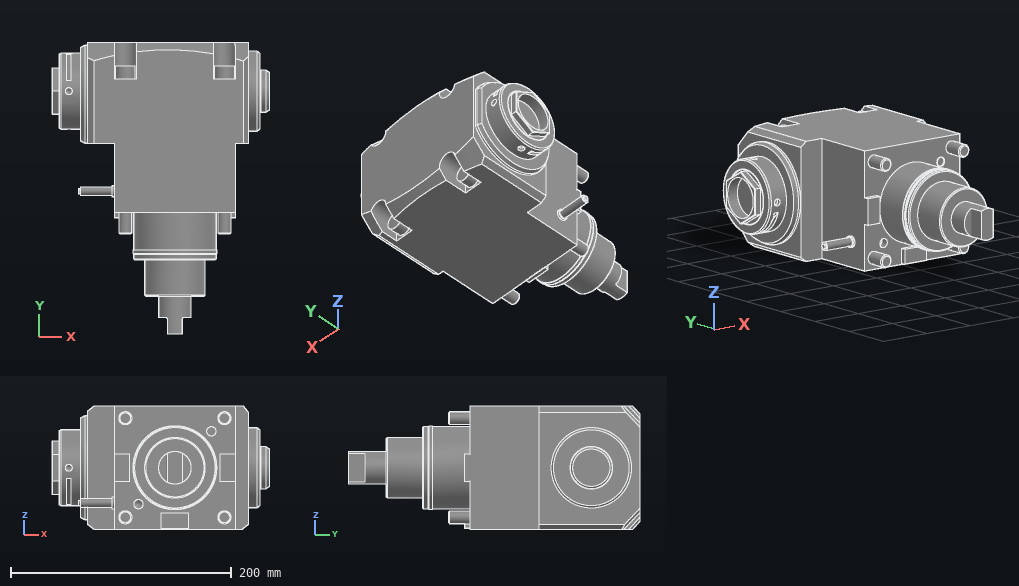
import cadquery as cq
import math


half_height = 56.0
back_y = 154.2
neck_half_width = 55.0
shoulder_y = 62.5
head_left = -79.2
head_right = 66.8
head_center_x = (head_left + head_right) / 2
edge_chamfer_width = 6.0
edge_chamfer_drop = 4.8
back_bevel = 6.5
back_arc_radius = 232.3
bevel_reach = 24.0
bevel_drop = 26.5

screw_offset = 45.0
screw_diameter = 12.0
screw_reach = 19.3
screw_chamfer = 1.0
screw_head_diameter = 18.0
screw_head_bottom = 121.2
screw_head_height = 12.0
screw_pocket_width = 19.8

key_length = 24.8
key_inner = 41.0
key_outer = neck_half_width
key_height = 4.8

drilling_offset = 33.0
drilling_diameter = 8.5
drilling_depth = 8.0
recess_depth = 1.0
drill_point_angle = 118

pilot_radius = 37.5
pilot_length = 42.8
pilot_chamfer = 1.0
seal_start = 33.8
seal_width = 3.2
seal_radius = 38.0
groove_width = 0.8
groove_depth = 1.0
collar_radius = 27.5
collar_length = 75.8
collar_chamfer = 1.0
journal_radius = 14.8
journal_length = 95.0
tongue_length = 109.8
tongue_width = 13.7
tongue_root_fillet = 1.0

spindle_y = 110.0
flange_end = -85.5
flange_radius = 47.3
flange_flat = 41.7
flange_chamfer_length = 4.0
flange_chamfer_depth = 2.0
nose_end = -104.8
nose_radius = 34.5
nose_chamfer_length = 1.8
nose_chamfer_depth = 1.0
nose_feature_x = -96.0
spanner_hole_diameter = 6.3
spanner_hole_depth = 3.7
slot_width = 4.2
slot_floor = 30.4

nut_end = -111.5
nut_across_flats = 42.2
nut_bore_diameter = 37.5
nut_bore_depth = 11.4
nut_collar_radius = 25.0
nut_seat_depth = 15.8
nut_seat_chamfer = 0.5
nut_edge_chamfer = 0.5

cover_end = 77.0
cover_radius = 36.5
cover_chamfer_length = 2.6
cover_chamfer_depth = 2.0
stub_end = 85.8
stub_radius = 19.3
stub_neck_radius = 18.7
stub_neck_length = 0.8
stub_chamfer_length = 3.5
stub_chamfer_depth = 2.5

pin_y = 19.5
pin_z = -32.0
pin_radius = 4.0
pin_end = -85.5
pin_tip_end = -87.0
pin_tip_radius = 2.5
pin_collar_radius = 5.3
pin_collar_width = 1.8


def box(x0, x1, y0, y1, z0, z1):
    """Block between two opposite corners."""
    return cq.Workplane("XY").box(x1 - x0, y1 - y0, z1 - z0, centered=False).translate((x0, y0, z0))


def cylinder_x(radius, x0, x1, y=spindle_y, z=0.0):
    """Cylinder along X from x0 to x1."""
    return cq.Workplane("YZ", origin=(x0, y, z)).circle(radius).extrude(x1 - x0)


def cylinder_y(radius, y0, y1, x=0.0, z=0.0):
    """Cylinder along Y from y0 to y1."""
    return cq.Workplane("XZ", origin=(x, y0, z)).circle(radius).extrude(y0 - y1)


def housing_block():
    """Neck and wider head, with the back bevelled along an arc above and below."""
    neck = box(-neck_half_width, neck_half_width, 0, back_y, -half_height, half_height)
    head = box(head_left, head_right, shoulder_y, back_y, -half_height, half_height)
    for z_side in ("<Z", ">Z"):
        head = head.faces(z_side).edges("|Y").chamfer(edge_chamfer_drop, edge_chamfer_width)
    rim_radius = back_arc_radius + bevel_reach
    rim_height = half_height - bevel_drop
    bevel_limit = (
        cq.Workplane("XZ")
        .polyline([
            (0, -half_height),
            (back_arc_radius, -half_height),
            (rim_radius, -rim_height),
            (rim_radius, rim_height),
            (back_arc_radius, half_height),
            (0, half_height),
        ])
        .close()
        .revolve(360, (0, 0), (0, 1))
        .translate((head_center_x, back_y - back_bevel - back_arc_radius, 0))
    )
    return neck.union(head).intersect(bevel_limit)


def screw_pocket(x, side):
    """Round-bottomed pocket for a screw head, open to the back and to the near top or bottom face."""
    half_width = screw_pocket_width / 2
    z_center = side * screw_offset
    z_low, z_high = sorted((z_center, side * half_height))
    bore = cylinder_y(half_width, screw_head_bottom, back_y, x, z_center)
    return bore.union(box(x - half_width, x + half_width, screw_head_bottom, back_y, z_low, z_high))


def screw(x, z):
    """Head in the pocket and shank end that stands out of the mounting face."""
    head = cylinder_y(
        screw_head_diameter / 2, screw_head_bottom, screw_head_bottom + screw_head_height, x, z
    )
    shank = cylinder_y(screw_diameter / 2, 0, -screw_reach, x, z).faces("<Y").chamfer(screw_chamfer)
    return head.union(shank)


def keys():
    """Three keys on the mounting face: left, right and bottom."""
    half_length = key_length / 2
    right_key = box(key_inner, key_outer, -key_height, 0, -half_length, half_length)
    return [right_key.rotate((0, 0, 0), (0, 1, 0), angle) for angle in (0, 90, 180)]


def drill(diameter, depth):
    """Drill shape along Z with its mouth at Z = 0, a straight part below it and a conical point."""
    radius = diameter / 2
    point_length = radius / math.tan(math.radians(drill_point_angle / 2))
    return (
        cq.Workplane("XZ")
        .polyline([(0, 0), (radius, 0), (radius, -depth), (0, -depth - point_length)])
        .close()
        .revolve(360, (0, 0), (0, 1))
    )


def drilled_hole():
    """Drilled hole in the lower left of the mounting face."""
    hole = drill(drilling_diameter, drilling_depth).rotate((0, 0, 0), (1, 0, 0), 90)
    return hole.translate((-drilling_offset, 0, -drilling_offset))


def shallow_recess():
    """Shallow round recess in the upper right of the mounting face."""
    return cylinder_y(drilling_diameter / 2, 0, recess_depth, drilling_offset, drilling_offset)


def tongue_side_cut(side):
    """Cut that leaves one flat of the tongue, rounded where the flat meets the journal shoulder."""
    flat_x, outer_x = sorted((side * tongue_width / 2, side * journal_radius))
    cut = box(flat_x, outer_x, -tongue_length, -journal_length, -journal_radius, journal_radius)
    root_edge = "<X" if side > 0 else ">X"
    return cut.faces(">Y").edges(root_edge).fillet(tongue_root_fillet)


def drive_shaft():
    """Stepped shaft with a seal ring and a flat driving tongue."""
    pilot = cylinder_y(pilot_radius, 0, -pilot_length).faces("<Y").chamfer(pilot_chamfer)
    seal_end = seal_start + seal_width
    groove_end = seal_end + groove_width
    groove = cylinder_y(pilot_radius, -seal_end, -groove_end)
    groove = groove.cut(cylinder_y(pilot_radius - groove_depth, -seal_end, -groove_end))
    seal = cylinder_y(seal_radius, -seal_start, -seal_end)
    collar = cylinder_y(collar_radius, 0, -collar_length).faces("<Y").chamfer(collar_chamfer)
    journal = cylinder_y(journal_radius, 0, -tongue_length)
    for side in (-1, 1):
        journal = journal.cut(tongue_side_cut(side))
    return pilot.cut(groove).union(seal).union(collar).union(journal)


def flange():
    """Flange around the spindle, with a flat towards the back and a chamfered outer edge."""
    disc = cylinder_x(flange_radius, flange_end, head_left)
    disc = disc.faces("<X").chamfer(flange_chamfer_length, flange_chamfer_depth)
    flat_y = spindle_y + flange_flat
    beyond_y = spindle_y + flange_radius
    beyond_flat = (
        cq.Workplane("XY")
        .polyline([
            (flange_end, flat_y - flange_chamfer_depth),
            (flange_end + flange_chamfer_length, flat_y),
            (head_left, flat_y),
            (head_left, beyond_y),
            (flange_end, beyond_y),
        ])
        .close()
        .extrude(flange_radius, both=True)
    )
    return disc.cut(beyond_flat)


def spindle_nose():
    """Round nose with four spanner holes and two slots."""
    nose = cylinder_x(nose_radius, nose_end, flange_end)
    nose = nose.faces("<X").chamfer(nose_chamfer_length, nose_chamfer_depth)
    axis_start = (0, spindle_y, 0)
    axis_end = (1, spindle_y, 0)
    hole = drill(spanner_hole_diameter, spanner_hole_depth).translate(
        (nose_feature_x, spindle_y, nose_radius)
    )
    for angle in (0, 90, 180, 270):
        nose = nose.cut(hole.rotate(axis_start, axis_end, angle))
    slot = box(
        nose_feature_x - slot_width / 2, nose_feature_x + slot_width / 2,
        spindle_y - nose_radius, spindle_y + nose_radius,
        slot_floor, nose_radius,
    )
    for angle in (-45, 135):
        nose = nose.cut(slot.rotate(axis_start, axis_end, angle))
    return nose


def cover_and_stub():
    """Bearing cover and shaft stub, with a thin neck between them, on the right side."""
    cover = cylinder_x(cover_radius, head_right, cover_end)
    cover = cover.faces(">X").chamfer(cover_chamfer_length, cover_chamfer_depth)
    neck_end = cover_end + stub_neck_length
    neck = cylinder_x(stub_neck_radius, cover_end, neck_end)
    stub = cylinder_x(stub_radius, neck_end, stub_end)
    stub = stub.faces(">X").chamfer(stub_chamfer_length, stub_chamfer_depth)
    return cover.union(neck).union(stub)


def side_pin():
    """Pin on the left side of the neck, with a collar at its root and a narrower tip."""
    collar_end = -neck_half_width - pin_collar_width
    collar = cylinder_x(pin_collar_radius, collar_end, -neck_half_width, pin_y, pin_z)
    shank = cylinder_x(pin_radius, pin_end, -neck_half_width, pin_y, pin_z)
    tip = cylinder_x(pin_tip_radius, pin_tip_end, pin_end, pin_y, pin_z)
    return collar.union(shank).union(tip)


def nut_seat():
    """Seat for the nut collar, widened by a small chamfer at its mouth."""
    mouth_radius = nut_collar_radius + nut_seat_chamfer
    mouth = (
        cq.Workplane("YZ", origin=(nose_end, spindle_y, 0))
        .circle(mouth_radius)
        .workplane(offset=nut_seat_chamfer)
        .circle(nut_collar_radius)
        .loft()
    )
    return cylinder_x(nut_collar_radius, nose_end, nose_end + nut_seat_depth).union(mouth)


def make_housing():
    """Housing with its shaft, flange, nose, cover, screws, keys and pin."""
    body = housing_block()
    for x in (-screw_offset, screw_offset):
        for side in (-1, 1):
            body = body.cut(screw_pocket(x, side))
            body = body.union(screw(x, side * screw_offset))
    for key in keys():
        body = body.union(key)
    body = body.cut(drilled_hole()).cut(shallow_recess())
    for part in (drive_shaft(), flange(), spindle_nose(), cover_and_stub(), side_pin()):
        body = body.union(part)
    return body.cut(nut_seat())


def make_nut():
    """Hexagonal clamping nut whose round collar fills the seat in the spindle nose."""
    collar = cylinder_x(nut_collar_radius, nose_end, nose_end + nut_seat_depth)
    corner_diameter = nut_across_flats / math.cos(math.pi / 6)
    hexagon = (
        cq.Workplane("YZ", origin=(nut_end, spindle_y, 0))
        .polygon(6, corner_diameter)
        .extrude(nose_end - nut_end)
        .rotate((0, spindle_y, 0), (1, spindle_y, 0), 90)
        .faces("<X")
        .chamfer(nut_edge_chamfer)
    )
    return collar.union(hexagon).cut(cylinder_x(nut_bore_diameter / 2, nut_end, nut_end + nut_bore_depth))


housing = make_housing()
nut = make_nut()
result = cq.Compound.makeCompound([housing.val(), nut.val()])